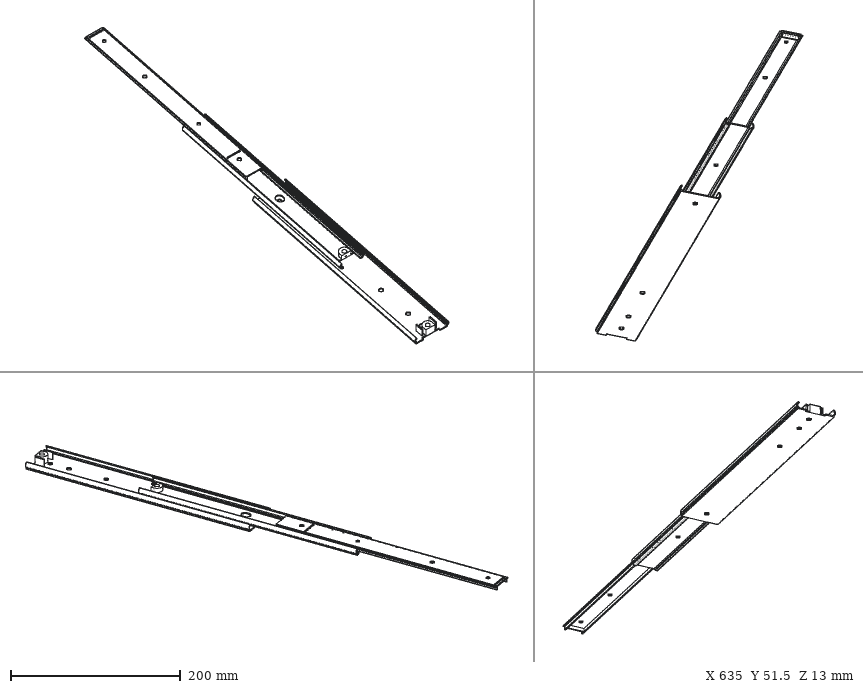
import cadquery as cq
import math

total_length = 635.0
total_width = 51.5
total_height = 13.0
sheet = 1.6

race_radius = 6.0
race_height = 9.5
neck_inset = 2.0
neck_height = 2.0
arc_foot_height = 3.5

outer_start = 330.0
outer_half_width = total_width / 2
outer_floor_top = sheet
outer_hole_places = [348.5, 539.5, 590.5, 616.0]
outer_notch_half_width = 13.0
outer_notch_depth = 2.5

middle_start = 188.5
middle_end = 485.0
middle_half_width = 18.5
middle_bottom = total_height - race_height
middle_bend_radius = 1.6
panel_rise = 1.6
panel_half_width = 11.0
panel_foot_half_width = 13.0
panel_top = middle_bottom + panel_rise + sheet
middle_notch_depth = 11.0
middle_hole_place = 273.0
access_slot_place = 349.0
access_slot_length = 12.0
access_slot_width = 9.5

inner_length = 301.0
inner_web_half_width = 12.0
inner_bead_half_width = 14.3
inner_bottom = 7.0
bead_bottom = 11.0
bead_top = 11.5
inner_small_hole_places = [19.0, 197.0]
inner_hole_places = [95.0, middle_hole_place]
tab_slot_places = [2.5, 261.5]
tab_slot_length = 2.0
tab_thickness = 1.6
tab_slot_width = 19.0

outer_hole_diameter = 6.0
hole_diameter = 5.0
small_hole_diameter = 4.5

stop_half_width = 7.0
stop_bore_diameter = 6.0
outer_stop_top = 11.1
outer_stop_depth = 5.0
middle_stop_top = 12.0
middle_stop_depth = 4.0
arm_offset = 10.0
arm_start = 618.0
arm_length = 12.0


def box(x_start, x_end, half_width, bottom, top, y_middle=0.0):
    """Block between two X places, two heights and centred on y_middle."""
    size = (x_end - x_start, 2 * half_width, top - bottom)
    return cq.Workplane("XY").box(*size, centered=(False, True, False)).translate((x_start, y_middle, bottom))


def drill(rail, places, diameter):
    """Vertical through holes on the rail's centreline."""
    holes = cq.Workplane("XY").pushPoints([(x, 0) for x in places]).circle(diameter / 2).extrude(total_height)
    return rail.cut(holes)


def race_arc(half_width, bottom, radius, foot_height):
    """Foot, widest point and tip of a race arc on the +Y side."""
    centre_y = half_width - race_radius
    centre_z = bottom + race_height / 2
    tip_angle = math.asin(race_height / 2 / race_radius)
    foot_angle = math.asin((bottom + foot_height - centre_z) / radius)
    return [
        (centre_y + radius * math.cos(angle), centre_z + radius * math.sin(angle))
        for angle in (foot_angle, 0, tip_angle)
    ]


def race_rail(x_start, x_end, half_width, bottom, underside, upside, bend_radius=0.0):
    """Channel with a race on each edge.

    underside runs from the centreline outwards and upside runs back to it, both on the +Y half.
    bend_radius rounds the outer corner between the floor and the neck.
    """
    outside = race_arc(half_width, bottom, race_radius, arc_foot_height)
    inside = race_arc(half_width, bottom, race_radius - sheet, arc_foot_height)
    neck_outside = half_width - neck_inset
    neck_inside = neck_outside - sheet
    half = cq.Workplane("YZ", origin=(x_start, 0, 0)).polyline(underside)
    if bend_radius > 0:
        half = half.lineTo(neck_outside - bend_radius, bottom)
        half = half.tangentArcPoint((neck_outside, bottom + bend_radius), relative=False)
    else:
        half = half.lineTo(neck_outside, bottom)
    half = (
        half.lineTo(neck_outside, bottom + neck_height)
        .lineTo(*outside[0])
        .threePointArc(outside[1], outside[2])
        .lineTo(*inside[2])
        .threePointArc(inside[1], inside[0])
        .lineTo(neck_inside, bottom + neck_height)
        .lineTo(neck_inside, bottom + sheet)
    )
    for point in upside:
        half = half.lineTo(*point)
    half = half.close().extrude(x_end - x_start)
    return half.union(half.mirror("XZ"))


def stop(x_end, depth, bottom, top, bore_bottom):
    """End block with a bored, full-width round nose that points towards -X."""
    x_start = x_end - depth
    axis = cq.Workplane("XY", origin=(x_start, 0, bottom))
    nose = axis.circle(stop_half_width).extrude(top - bottom)
    nose = nose.intersect(box(x_start - stop_half_width, x_start, stop_half_width, bottom, top))
    bore = (
        cq.Workplane("XY", origin=(x_start, 0, bore_bottom))
        .circle(stop_bore_diameter / 2)
        .extrude(top - bore_bottom)
    )
    return box(x_start, x_end, stop_half_width, bottom, top).union(nose).cut(bore)


def make_outer_rail():
    rail = race_rail(
        outer_start, total_length, outer_half_width, 0.0,
        [(0, 0)], [(0, outer_floor_top)],
    )
    notch_start = total_length - outer_notch_depth
    rail = rail.cut(box(notch_start, total_length, outer_notch_half_width, 0, outer_floor_top))
    rail = drill(rail, outer_hole_places, outer_hole_diameter)
    rail = rail.union(stop(notch_start, outer_stop_depth, 0, outer_stop_top, outer_floor_top))
    for side in (-1, 1):
        arm = box(arm_start, arm_start + arm_length, sheet / 2, 0, outer_stop_top, side * arm_offset)
        rail = rail.union(arm)
    return rail


def make_middle_rail():
    panel_bottom = panel_top - sheet
    strip_top = middle_bottom + sheet
    rail = race_rail(
        middle_start, middle_end, middle_half_width, middle_bottom,
        [(0, panel_bottom), (panel_half_width, panel_bottom), (panel_foot_half_width, middle_bottom)],
        [(panel_foot_half_width, strip_top), (panel_half_width, panel_top), (0, panel_top)],
        middle_bend_radius,
    )
    notch_start = middle_end - middle_notch_depth
    rail = rail.cut(box(notch_start, middle_end, panel_foot_half_width, middle_bottom, panel_top))
    rail = rail.union(stop(notch_start, middle_stop_depth, panel_bottom, middle_stop_top, panel_top))
    access_slot = (
        cq.Workplane("XY", origin=(access_slot_place, 0, 0))
        .slot2D(access_slot_length, access_slot_width)
        .extrude(total_height)
    )
    return drill(rail.cut(access_slot), [middle_hole_place], hole_diameter)


def make_inner_rail():
    web_bottom = total_height - sheet
    flange_inside = inner_web_half_width - sheet
    half = (
        cq.Workplane("YZ")
        .moveTo(0, total_height)
        .lineTo(inner_web_half_width, total_height)
        .lineTo(inner_web_half_width, bead_top)
        .lineTo(inner_bead_half_width, bead_top)
        .lineTo(inner_bead_half_width, bead_bottom)
        .lineTo(inner_web_half_width, bead_bottom)
        .lineTo(inner_web_half_width, inner_bottom)
        .lineTo(flange_inside, inner_bottom)
        .lineTo(flange_inside, web_bottom)
        .lineTo(0, web_bottom)
        .close()
        .extrude(inner_length)
    )
    rail = half.union(half.mirror("XZ"))
    for slot_start in tab_slot_places:
        slot_end = slot_start + tab_slot_length
        rail = rail.cut(box(slot_start, slot_end, tab_slot_width / 2, web_bottom, total_height))
        rail = rail.union(box(slot_end, slot_end + tab_thickness, flange_inside, inner_bottom, total_height))
    rail = drill(rail, inner_hole_places, hole_diameter)
    return drill(rail, inner_small_hole_places, small_hole_diameter)


outer_rail = make_outer_rail()
middle_rail = make_middle_rail()
inner_rail = make_inner_rail()

result = cq.Compound.makeCompound([outer_rail.val(), middle_rail.val(), inner_rail.val()])